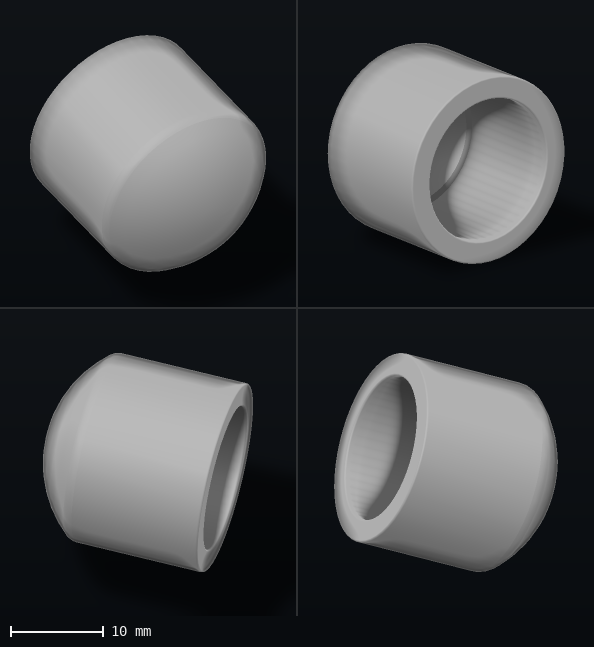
import cadquery as cq
import math

outer_radius = 10.5
length = 20.0
dome_radius = 13.1
shoulder_fillet = 1.62
bore_radius = 8.0
recess_dome_radius = 9.5
recess_mouth_radius = 7.2
rim_fillet = 0.2

dome_center = length - dome_radius
recess_apex = dome_center + recess_dome_radius
recess_angle = math.asin(recess_mouth_radius / recess_dome_radius)


def sphere_point(radius, angle):
    """Profile point on a sphere about the dome center, angle from the X axis."""
    return (dome_center + radius * math.cos(angle), radius * math.sin(angle))


shoulder_offset = dome_radius - shoulder_fillet
dome_angle = math.asin((outer_radius - shoulder_fillet) / shoulder_offset)
shoulder_x, shoulder_y = sphere_point(shoulder_offset, dome_angle)
shoulder_mid_angle = (dome_angle + math.pi / 2) / 2
shoulder_mid = (
    shoulder_x + shoulder_fillet * math.cos(shoulder_mid_angle),
    shoulder_y + shoulder_fillet * math.sin(shoulder_mid_angle),
)

bore_depth = sphere_point(recess_dome_radius, recess_angle)[0]

profile = (
    cq.Workplane("XY")
    .moveTo(0, bore_radius)
    .lineTo(0, outer_radius)
    .lineTo(shoulder_x, outer_radius)
    .threePointArc(shoulder_mid, sphere_point(dome_radius, dome_angle))
    .threePointArc(sphere_point(dome_radius, dome_angle / 2), (length, 0))
    .lineTo(recess_apex, 0)
    .threePointArc(
        sphere_point(recess_dome_radius, recess_angle / 2),
        (bore_depth, recess_mouth_radius),
    )
    .lineTo(bore_depth, bore_radius)
    .close()
)
cap = profile.revolve(360, (0, 0, 0), (1, 0, 0))

result = cap.faces("<X").edges().fillet(rim_fillet)